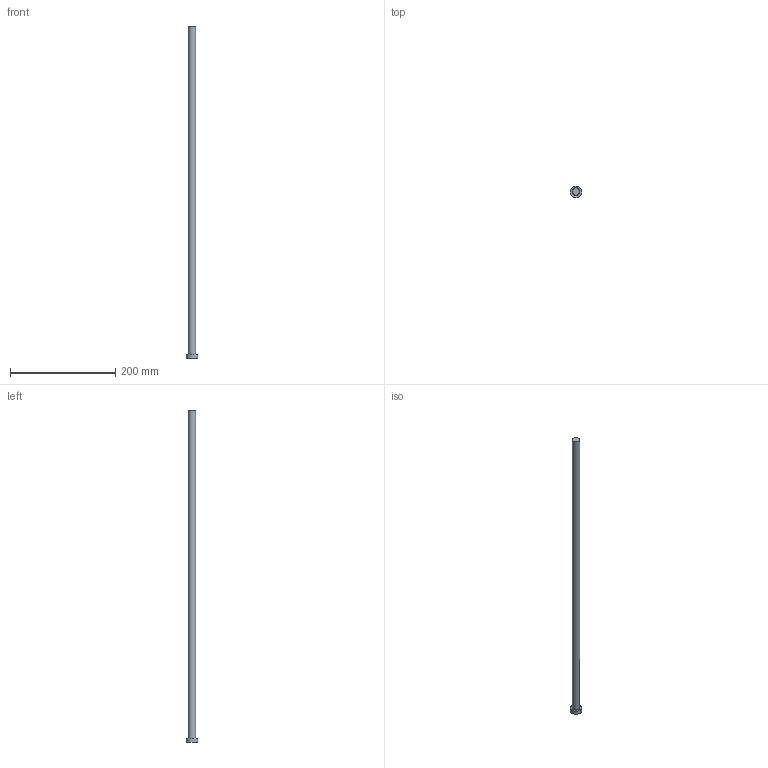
import cadquery as cq

total_length = 630.0
shaft_diameter = 14.0
head_diameter = 22.0
head_height = 7.0


def make_head():
    """Cylindrical head standing on the XY plane."""
    return cq.Workplane("XY").circle(head_diameter / 2).extrude(head_height)


def make_shaft():
    """Plain round shaft running from the base of the head to the tip."""
    return cq.Workplane("XY").circle(shaft_diameter / 2).extrude(total_length)


result = make_head().union(make_shaft())